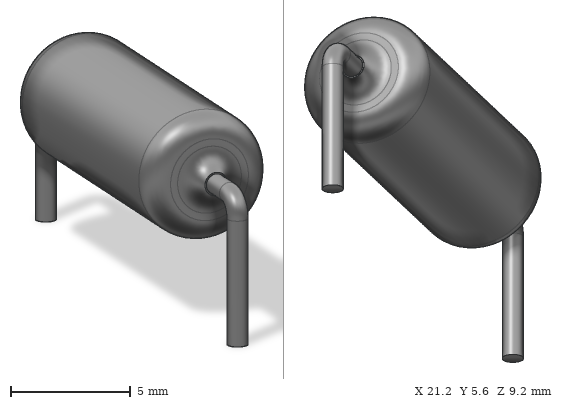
import cadquery as cq
import math


overall_length = 21.2
housing_diameter = 5.6
housing_length = 14.37
housing_edge_radius = 1.02
neck_length = 0.7
neck_tip_radius = 0.5
neck_flare_radius = 1.0
lead_diameter = 0.9
lead_bend_radius = lead_diameter
lead_drop = 6.4

housing_radius = housing_diameter / 2
lead_radius = lead_diameter / 2
end_face_x = housing_length / 2
neck_tip_x = end_face_x + neck_length
lead_leg_x = overall_length / 2 - lead_radius

flare_centre_x = end_face_x + neck_flare_radius
flare_tip_angle = math.acos((flare_centre_x - neck_tip_x) / neck_flare_radius)
flare_base_radius = neck_tip_radius + neck_flare_radius * math.sin(flare_tip_angle)
flare_mid_x = flare_centre_x - neck_flare_radius * math.cos(flare_tip_angle / 2)
flare_mid_radius = flare_base_radius - neck_flare_radius * math.sin(flare_tip_angle / 2)


def make_housing():
    """Revolve the housing profile, with a flared neck at each end, about X."""
    edge_start_x = end_face_x - housing_edge_radius
    edge_end_radius = housing_radius - housing_edge_radius
    profile = (
        cq.Workplane("XY")
        .moveTo(-neck_tip_x, 0)
        .lineTo(-neck_tip_x, neck_tip_radius)
        .threePointArc((-flare_mid_x, flare_mid_radius), (-end_face_x, flare_base_radius))
        .lineTo(-end_face_x, edge_end_radius)
        .radiusArc((-edge_start_x, housing_radius), housing_edge_radius)
        .lineTo(edge_start_x, housing_radius)
        .radiusArc((end_face_x, edge_end_radius), housing_edge_radius)
        .lineTo(end_face_x, flare_base_radius)
        .threePointArc((flare_mid_x, flare_mid_radius), (neck_tip_x, neck_tip_radius))
        .lineTo(neck_tip_x, 0)
        .close()
    )
    return profile.revolve(360, (0, 0, 0), (1, 0, 0))


def make_lead(side):
    """Sweep a round wire out of the neck tip and down; side is -1 or +1 along X."""
    bend_start_x = lead_leg_x - lead_bend_radius
    bend_mid_x = bend_start_x + lead_bend_radius * math.sin(math.pi / 4)
    bend_mid_z = -lead_bend_radius * (1 - math.cos(math.pi / 4))
    path = (
        cq.Workplane("XZ")
        .moveTo(side * neck_tip_x, 0)
        .lineTo(side * bend_start_x, 0)
        .threePointArc((side * bend_mid_x, bend_mid_z), (side * lead_leg_x, -lead_bend_radius))
        .lineTo(side * lead_leg_x, -lead_drop)
    )
    section = cq.Workplane("YZ", origin=(side * neck_tip_x, 0, 0)).circle(lead_radius)
    return section.sweep(path)


housing = make_housing()
leads = [make_lead(side) for side in (-1, 1)]

result = cq.Compound.makeCompound([housing.val(), *[lead.val() for lead in leads]])